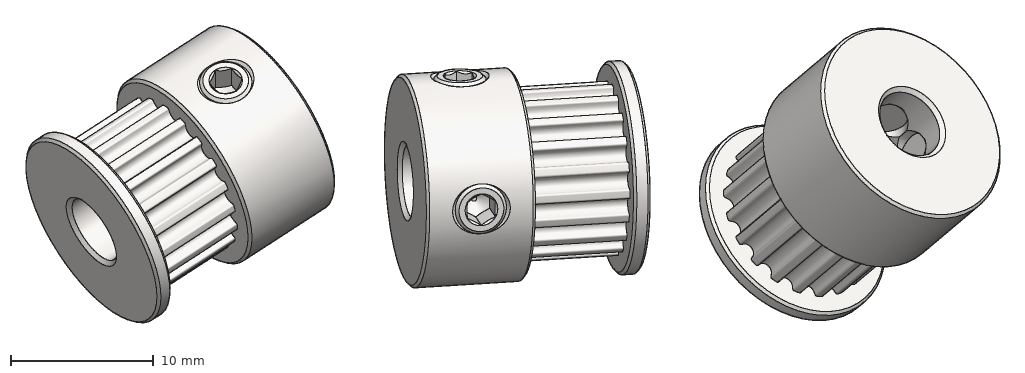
import cadquery as cq
import math

flange_length = 1.2
toothed_length = 7.0
hub_length = 7.8
total_length = flange_length + toothed_length + hub_length
hub_start = flange_length + toothed_length

rim_diameter = 15.0
bore_diameter = 5.0
rim_chamfer = 0.2
bore_chamfer = 0.3

tooth_count = 20
tooth_tip_radius = 6.11
groove_depth = 0.764
groove_root_radius = 0.555
groove_flank_radius = 1.0
flank_center_offset = 0.4
tooth_tip_fillet = 0.15

screw_angles = [0, -90]
screw_y = hub_start + hub_length / 2
screw_top_diameter = 3.2
countersink_diameter = 4.12
screw_diameter = (screw_top_diameter + countersink_diameter) / 2
screw_chamfer = (screw_diameter - screw_top_diameter) / 2
countersink_depth = (countersink_diameter - screw_diameter) / 2
screw_top = rim_diameter / 2
screw_bottom = bore_diameter / 2

socket_width = 2.0
socket_corner_diameter = socket_width / math.cos(math.pi / 6)
socket_mouth_diameter = 2.33
socket_depth = 2.0
socket_tip_diameter = 0.36
drill_point_angle = 118


def disc(start, length):
    """Chamfered disc of the rim diameter, from Y = start toward +Y."""
    return (
        cq.Workplane("XZ", origin=(0, start, 0))
        .circle(rim_diameter / 2)
        .extrude(-length)
        .faces("<Y or >Y")
        .chamfer(rim_chamfer)
    )


def on_circle(center, radius, angle):
    return (center[0] + radius * math.cos(angle), center[1] + radius * math.sin(angle))


def mirrored(point):
    return (-point[0], point[1])


def belt_groove():
    """Cutter for the groove that is centred on +Z; it passes along the toothed length."""
    root_center = (0, tooth_tip_radius - groove_depth + groove_root_radius)

    center_distance = groove_flank_radius - groove_root_radius
    flank_rise = math.sqrt(center_distance**2 - flank_center_offset**2)
    flank_center = (-flank_center_offset, root_center[1] + flank_rise)
    root_end_angle = math.atan2(-flank_rise, flank_center_offset)

    axis_to_flank = math.hypot(*flank_center)
    axis_to_fillet = tooth_tip_radius - tooth_tip_fillet
    flank_to_fillet = groove_flank_radius + tooth_tip_fillet
    cos_at_axis = (axis_to_flank**2 + axis_to_fillet**2 - flank_to_fillet**2) / (
        2 * axis_to_flank * axis_to_fillet
    )
    tip_angle = math.atan2(flank_center[1], flank_center[0]) - math.acos(cos_at_axis)
    fillet_center = on_circle((0, 0), axis_to_fillet, tip_angle)
    flank_end_angle = math.atan2(
        fillet_center[1] - flank_center[1], fillet_center[0] - flank_center[0]
    )

    root_bottom = on_circle(root_center, groove_root_radius, -math.pi / 2)
    root_end = on_circle(root_center, groove_root_radius, root_end_angle)
    flank_middle = on_circle(
        flank_center, groove_flank_radius, (root_end_angle + flank_end_angle) / 2
    )
    flank_end = on_circle(flank_center, groove_flank_radius, flank_end_angle)
    fillet_middle = on_circle(
        fillet_center, tooth_tip_fillet, (flank_end_angle + math.pi + tip_angle) / 2
    )
    tip = on_circle((0, 0), tooth_tip_radius, tip_angle)

    return (
        cq.Workplane("XZ", origin=(0, flange_length, 0))
        .moveTo(*tip)
        .threePointArc(fillet_middle, flank_end)
        .threePointArc(flank_middle, root_end)
        .threePointArc(root_bottom, mirrored(root_end))
        .threePointArc(mirrored(flank_middle), mirrored(flank_end))
        .threePointArc(mirrored(fillet_middle), mirrored(tip))
        .threePointArc((0, tooth_tip_radius), tip)
        .close()
        .extrude(-toothed_length)
    )


def toothed_section():
    """Toothed barrel with a tooth, not a groove, centred on +Z."""
    barrel = (
        cq.Workplane("XZ", origin=(0, flange_length, 0))
        .circle(tooth_tip_radius)
        .extrude(-toothed_length)
    )
    groove = belt_groove()
    pitch_angle = 360 / tooth_count
    for index in range(tooth_count):
        angle = (index + 0.5) * pitch_angle
        barrel = barrel.cut(groove.rotate((0, 0, 0), (0, 1, 0), angle))
    return barrel


def bore():
    """Cutter for the through bore with a chamfer at each end."""
    radius = bore_diameter / 2
    mouth_radius = radius + bore_chamfer
    return (
        cq.Workplane("XY")
        .moveTo(0, 0)
        .lineTo(mouth_radius, 0)
        .lineTo(radius, bore_chamfer)
        .lineTo(radius, total_length - bore_chamfer)
        .lineTo(mouth_radius, total_length)
        .lineTo(0, total_length)
        .close()
        .revolve(360, (0, 0, 0), (0, 1, 0))
    )


def aim_screw(shape, angle):
    """Move a shape built on the Z axis to the screw position and turn it about the pulley axis."""
    return shape.translate((0, screw_y, 0)).rotate((0, 0, 0), (0, 1, 0), angle)


def screw_hole():
    """Cutter for a countersunk screw hole, from the pulley axis outward along +Z."""
    shank = cq.Workplane("XY").circle(screw_diameter / 2).extrude(screw_top)
    countersink = (
        cq.Workplane("XY", origin=(0, 0, screw_top))
        .circle(countersink_diameter / 2)
        .workplane(offset=-countersink_depth)
        .circle(screw_diameter / 2)
        .loft(ruled=True)
    )
    return shank.union(countersink)


def hex_socket():
    """Cutter for the hexagon socket: straight flats, conical floor and a chamfered mouth."""
    corner_radius = socket_corner_diameter / 2
    mouth_radius = socket_mouth_diameter / 2
    tip_radius = socket_tip_diameter / 2
    cone_slope = math.tan(math.radians(drill_point_angle / 2))
    cone_start = screw_top - socket_depth
    cone_end = cone_start - (corner_radius - tip_radius) / cone_slope
    drill = (
        cq.Workplane("XZ")
        .moveTo(0, screw_top)
        .lineTo(corner_radius, screw_top)
        .lineTo(corner_radius, cone_start)
        .lineTo(tip_radius, cone_end)
        .lineTo(0, cone_end)
        .close()
        .revolve(360, (0, 0, 0), (0, 1, 0))
    )
    hexagon = (
        cq.Workplane("XY", origin=(0, 0, cone_end))
        .polygon(6, socket_corner_diameter)
        .extrude(screw_top - cone_end)
    )
    mouth_depth = mouth_radius - socket_width / 2
    mouth = (
        cq.Workplane("XY", origin=(0, 0, screw_top))
        .circle(mouth_radius)
        .workplane(offset=-mouth_depth)
        .circle(socket_width / 2)
        .loft(ruled=True)
    )
    return hexagon.intersect(drill).union(mouth)


def set_screw():
    """Headless screw along +Z that reaches from the bore to the hub rim."""
    blank = (
        cq.Workplane("XY", origin=(0, 0, screw_bottom))
        .circle(screw_diameter / 2)
        .extrude(screw_top - screw_bottom)
        .faces(">Z")
        .chamfer(screw_chamfer)
    )
    return blank.cut(hex_socket())


pulley = disc(0, flange_length).union(toothed_section()).union(disc(hub_start, hub_length))
pulley = pulley.cut(bore())
for screw_angle in screw_angles:
    pulley = pulley.cut(aim_screw(screw_hole(), screw_angle))

set_screws = [aim_screw(set_screw(), screw_angle).val() for screw_angle in screw_angles]

result = cq.Compound.makeCompound([pulley.val(), *set_screws])